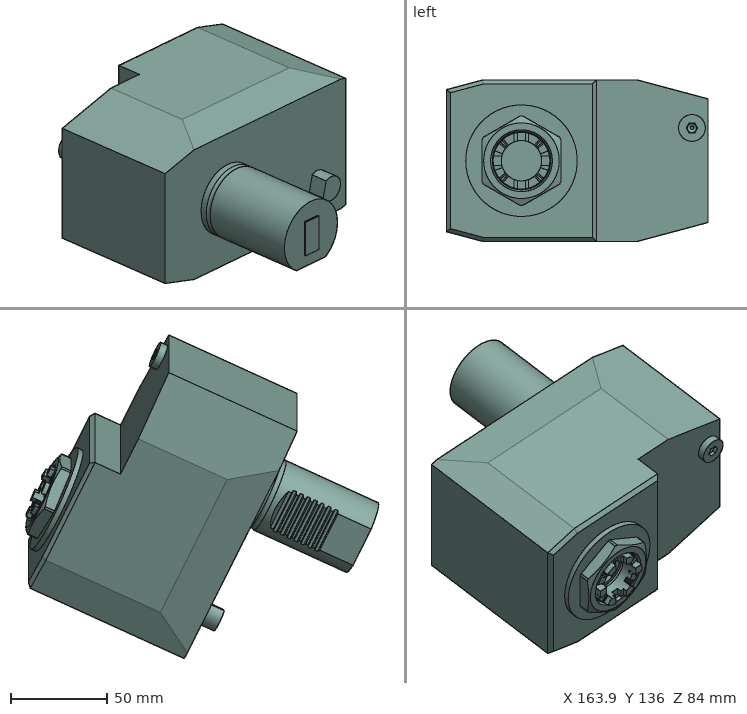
import cadquery as cq
import math


overall_length = 163.9

housing_height = 84.0
half_height = housing_height / 2
housing_y_min = -47.0
housing_y_max = 89.0
step_x = -74.1
head_front_x = -91.0
head_y_min = 11.0
head_edge_chamfer = 2.1
side_bevel_angle = 15
rear_bevel_angle = 10
high_side_bevel = 18.8
low_side_bevel = 36.7
rear_bevel = 22.8

shank_diameter = 40.0
shank_radius = shank_diameter / 2
shank_length = 60.0
groove_diameter = 38.7
groove_start = 3.8
groove_width = 2.8
flat_z = -16.7
flat_start_x = 12.3
flat_runout = 2.6
tooth_count = 7
first_tooth_x = 15.4
last_tooth_x = 39.3
tooth_pitch = (last_tooth_x - first_tooth_x) / (tooth_count - 1)
tooth_depth = 1.0
tooth_mouth = 2.8
tooth_root = 1.6
tang_width = 10.0
tang_height = 19.7

pin_diameter = 14.0
pin_length = 10.0
pin_y = 67.5
pin_z = -15.9
pin_flat_distance = 5.0

screw_diameter = 14.0
screw_head_height = 4.0
screw_y = -38.7
screw_z = 17.0
socket_across_corners = 5.9
socket_depth = 2.0
socket_cone_diameter = 4.9
socket_cone_depth = 1.3
socket_tip_diameter = 1.6

spindle_y = (head_y_min + housing_y_max) / 2
flange_diameter = 58.0
flange_thickness = 2.8
nut_across_flats = 41
nut_corner_diameter = 46.5
nut_face_diameter = 39.3
nut_thickness = 6.9
nut_chamfer_length = 1.5
nut_mouth_diameter = 32.1
nut_bore_diameter = 30.3
nut_mouth_depth = 1.6
collet_diameter = 29.5
collet_bore = 21.0
collet_depth = 14.8
collet_protrusion = 2.3
collet_slit_depth = 4.9
wide_slot_width = 7.5
wide_slit_width = 4.0
side_jaw_width = 4.9
side_slit_end = 20
corner_jaw_start = 47
narrow_slit_width = 0.8
narrow_slit_angles = (39.5, 48)
undercut_diameter = 24.6
undercut_depth = 9.8
undercut_width = 2.5

flange_front_x = head_front_x - flange_thickness
nut_front_x = flange_front_x - nut_thickness
collet_front_x = nut_front_x - collet_protrusion
tang_end_x = collet_front_x + overall_length


def cylinder(diameter, x_start, x_end, y=0, z=0):
    """Solid cylinder along X."""
    face = cq.Workplane("YZ", origin=(x_start, y, z)).circle(diameter / 2)
    return face.extrude(x_end - x_start)


def cone(start_diameter, end_diameter, x_start, x_end, y=0, z=0):
    """Solid cone frustum along X, with x_end greater than x_start."""
    profile = [
        (x_start, 0),
        (x_start, start_diameter / 2),
        (x_end, end_diameter / 2),
        (x_end, 0),
    ]
    frustum = cq.Workplane("XY").polyline(profile).close().revolve(360, (0, 0, 0), (1, 0, 0))
    return frustum.translate((0, y, z))


def box(x_range, y_range, z_range):
    """Box from the lower and upper limit along each axis."""
    sizes = [upper - lower for lower, upper in (x_range, y_range, z_range)]
    corner = (x_range[0], y_range[0], z_range[0])
    return cq.Workplane("XY").box(*sizes, centered=False).translate(corner)


def make_housing():
    plan = [
        (head_front_x, head_y_min),
        (step_x, head_y_min),
        (step_x, housing_y_min),
        (0, housing_y_min),
        (0, housing_y_max),
        (head_front_x, housing_y_max),
    ]
    block = cq.Workplane("XY", origin=(0, 0, -half_height)).polyline(plan).close().extrude(housing_height)

    side_slope = math.tan(math.radians(side_bevel_angle))
    high_edge = half_height - high_side_bevel * side_slope
    low_edge = half_height - low_side_bevel * side_slope
    end_profile = [
        (housing_y_min, -low_edge),
        (housing_y_min + low_side_bevel, -half_height),
        (housing_y_max - high_side_bevel, -half_height),
        (housing_y_max, -high_edge),
        (housing_y_max, high_edge),
        (housing_y_max - high_side_bevel, half_height),
        (housing_y_min + low_side_bevel, half_height),
        (housing_y_min, low_edge),
    ]
    end_prism = cq.Workplane("YZ", origin=(head_front_x, 0, 0)).polyline(end_profile).close()
    block = block.intersect(end_prism.extrude(-head_front_x))

    rear_edge = half_height - rear_bevel * math.tan(math.radians(rear_bevel_angle))
    side_profile = [
        (head_front_x, -half_height),
        (-rear_bevel, -half_height),
        (0, -rear_edge),
        (0, rear_edge),
        (-rear_bevel, half_height),
        (head_front_x, half_height),
    ]
    side_prism = cq.Workplane("XZ", origin=(0, housing_y_max, 0)).polyline(side_profile).close()
    block = block.intersect(side_prism.extrude(housing_y_max - housing_y_min))
    return block.faces("<X").chamfer(head_edge_chamfer)


def make_shank():
    shank = cylinder(shank_diameter, 0, shank_length)
    groove_middle = (groove_start + groove_width / 2, groove_diameter / 2)
    groove_end = (groove_start + groove_width, shank_radius)
    groove_profile = cq.Workplane("XY").moveTo(groove_start, shank_radius)
    groove_profile = groove_profile.threePointArc(groove_middle, groove_end).close()
    shank = shank.cut(groove_profile.revolve(360, (0, 0, 0), (1, 0, 0)))

    flat_profile = [
        (flat_start_x - flat_runout, -shank_radius),
        (flat_start_x, flat_z),
        (shank_length, flat_z),
        (shank_length, -shank_radius),
    ]
    flat = cq.Workplane("XZ").polyline(flat_profile).close().extrude(shank_radius, both=True)
    shank = shank.cut(flat)

    for index in range(tooth_count):
        tooth_x = first_tooth_x + index * tooth_pitch
        gap_profile = [
            (tooth_x - tooth_mouth / 2, flat_z),
            (tooth_x - tooth_root / 2, flat_z + tooth_depth),
            (tooth_x + tooth_root / 2, flat_z + tooth_depth),
            (tooth_x + tooth_mouth / 2, flat_z),
        ]
        gap = cq.Workplane("XZ").polyline(gap_profile).close().extrude(shank_radius, both=True)
        shank = shank.cut(gap)

    tang = box(
        (shank_length, tang_end_x),
        (-tang_width / 2, tang_width / 2),
        (-tang_height / 2, tang_height / 2),
    )
    return shank.union(tang)


def make_pin():
    """Round pin with one flat turned squarely toward the shank axis."""
    pin = cylinder(pin_diameter, 0, pin_length)
    kept_width = (-pin_flat_distance, pin_diameter)
    kept = box((0, pin_length), kept_width, (-pin_diameter, pin_diameter))
    tilt = math.degrees(math.atan2(pin_z, pin_y))
    return pin.intersect(kept.rotate((0, 0, 0), (1, 0, 0), tilt)).translate((0, pin_y, pin_z))


def make_screw():
    top_x = step_x - screw_head_height
    cone_x = top_x + socket_depth
    head = cylinder(screw_diameter, top_x, step_x, screw_y, screw_z)
    socket = cq.Workplane("YZ", origin=(top_x, screw_y, screw_z))
    head = head.cut(socket.polygon(6, socket_across_corners).extrude(socket_depth))
    return head.cut(
        cone(socket_cone_diameter, socket_tip_diameter, cone_x, cone_x + socket_cone_depth, screw_y, screw_z)
    )


def make_nut():
    corner_diagonal = nut_across_flats / math.cos(math.radians(30))
    hexagon = cq.Workplane("YZ", origin=(nut_front_x, 0, 0)).transformed(rotate=(0, 0, 30))
    nut = hexagon.polygon(6, corner_diagonal).extrude(nut_thickness)
    chamfer_end_x = nut_front_x + nut_chamfer_length
    envelope = cone(nut_face_diameter, nut_corner_diameter, nut_front_x, chamfer_end_x)
    envelope = envelope.union(cylinder(nut_corner_diameter, chamfer_end_x, flange_front_x))
    mouth = cone(nut_mouth_diameter, nut_bore_diameter, nut_front_x, nut_front_x + nut_mouth_depth)
    return nut.intersect(envelope).cut(mouth)


def side_wedge(angle, depth):
    """Space from the flank of a side jaw up to a radial line at the given angle."""
    slope = math.tan(math.radians(angle))
    flank = side_jaw_width / 2
    outline = [
        (flank / slope, flank),
        (collet_diameter, flank),
        (collet_diameter, collet_diameter * slope),
    ]
    return cq.Workplane("YZ", origin=(collet_front_x, 0, 0)).polyline(outline).close().extrude(depth)


def vertical_slot(width, depth):
    """Slot through the top and bottom of the collet."""
    x_range = (collet_front_x, collet_front_x + depth)
    return box(x_range, (-width / 2, width / 2), (-collet_diameter, collet_diameter))


def make_collet_gaps():
    """Everything cut between the six protruding jaws of the collet."""
    slit_range = (collet_front_x, collet_front_x + collet_slit_depth)
    half_slit = narrow_slit_width / 2
    narrow_slit = box(slit_range, (0, collet_diameter), (-half_slit, half_slit))

    quarter = side_wedge(corner_jaw_start, collet_protrusion)
    quarter = quarter.union(side_wedge(side_slit_end, collet_slit_depth))
    for angle in narrow_slit_angles:
        quarter = quarter.union(narrow_slit.rotate((0, 0, 0), (1, 0, 0), angle))
    half = quarter.union(quarter.mirror("XY"))
    gaps = half.union(half.mirror("XZ"))
    gaps = gaps.union(vertical_slot(wide_slot_width, collet_protrusion))
    return gaps.union(vertical_slot(wide_slit_width, collet_slit_depth))


def make_spindle():
    flange = cylinder(flange_diameter, flange_front_x, head_front_x)
    collet = cylinder(collet_diameter, collet_front_x, flange_front_x)
    nut_bore = cylinder(nut_bore_diameter, nut_front_x, flange_front_x)
    spindle = flange.union(make_nut().cut(nut_bore)).union(collet.cut(make_collet_gaps()))
    return spindle.translate((0, spindle_y, 0))


collet_hole = cylinder(collet_bore, collet_front_x, collet_front_x + collet_depth, spindle_y)
undercut_x = collet_front_x + undercut_depth
collet_hole = collet_hole.union(
    cylinder(undercut_diameter, undercut_x, undercut_x + undercut_width, spindle_y)
)

result = make_housing().union(make_shank()).union(make_pin()).union(make_screw())
result = result.union(make_spindle()).cut(collet_hole)